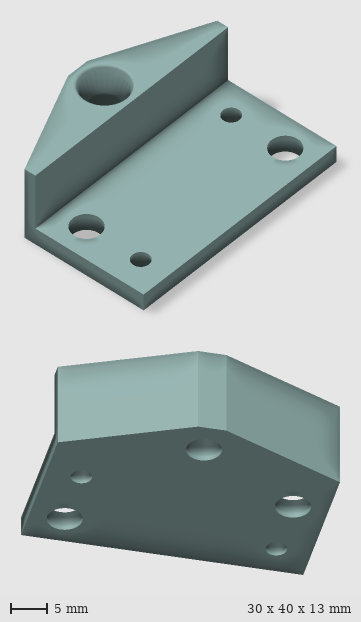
import cadquery as cq

length_x = 30.0
width_y = 40.0
height_z = 13.0

plate_thickness = 3.0
block_depth = 10.0
nose_width = 4.0
taper_depth = 8.0

small_hole_diameter = 3.0
large_hole_diameter = 5.0
hole_edge_margin = 5.0
hole_x_near = block_depth + hole_edge_margin
hole_x_far = length_x - hole_edge_margin
hole_y = width_y / 2 - hole_edge_margin

screw_hole_x = block_depth / 2
screw_hole_diameter = 5.0
cone_top_diameter = 8.0
cone_depth = 4.0
cone_edge_radius = 0.5


def make_body():
    """Plate with a tapered block standing along one long edge."""
    half_width = width_y / 2
    half_nose = nose_width / 2
    block = (
        cq.Workplane("XY")
        .polyline([
            (0, -half_nose),
            (taper_depth, -half_width),
            (block_depth, -half_width),
            (block_depth, half_width),
            (taper_depth, half_width),
            (0, half_nose),
        ])
        .close()
        .extrude(height_z)
    )
    plate = (
        cq.Workplane("XY")
        .moveTo((taper_depth + length_x) / 2, 0)
        .rect(length_x - taper_depth, width_y)
        .extrude(plate_thickness)
    )
    return block.union(plate)


def plate_holes(diameter, points):
    """Cutters for through holes in the plate."""
    return cq.Workplane("XY").pushPoints(points).circle(diameter / 2).extrude(plate_thickness)


def cut_screw_hole(body):
    """Cut a through bore with a steep cone, then round the cone's top and bottom edges."""
    bore_radius = screw_hole_diameter / 2
    cone_radius = cone_top_diameter / 2
    cone_bottom = height_z - cone_depth
    cutter = (
        cq.Workplane("XZ")
        .polyline([
            (0, 0),
            (bore_radius, 0),
            (bore_radius, cone_bottom),
            (cone_radius, height_z),
            (0, height_z),
        ])
        .close()
        .revolve(360, (0, 0, 0), (0, 1, 0))
        .translate((screw_hole_x, 0, 0))
    )
    cone_edges = body.cut(cutter).faces("%CONE").edges("%CIRCLE")
    return cone_edges.fillet(cone_edge_radius)


small_holes = plate_holes(small_hole_diameter, [(hole_x_near, hole_y), (hole_x_far, -hole_y)])
large_holes = plate_holes(large_hole_diameter, [(hole_x_far, hole_y), (hole_x_near, -hole_y)])

result = cut_screw_hole(make_body()).cut(small_holes).cut(large_holes)